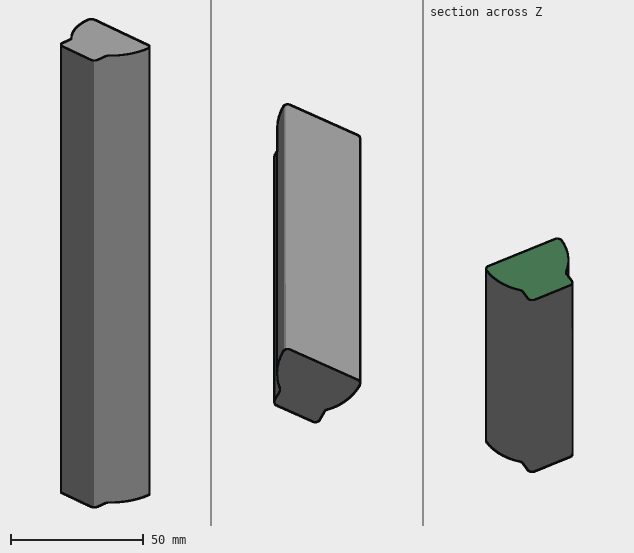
import cadquery as cq
import math

length = 190.5
width = 32.4
depth = 23.8
neck_width = 19.0
flank_radius = 21.0
corner_radius = 2.0
neck_radius = 1.0

half_width = width / 2
half_neck = neck_width / 2
back_y = depth / 2
front_y = -depth / 2
flank_top_y = back_y - corner_radius
flank_center_x = half_width - flank_radius


def flank_point(angle):
    """Point on the right flank, at an angle below its parallel start."""
    return (
        flank_center_x + flank_radius * math.cos(angle),
        flank_top_y - flank_radius * math.sin(angle),
    )


def mirrored(point):
    return (-point[0], point[1])


flank_angle = math.acos((half_neck - flank_center_x) / flank_radius)
flank_middle = flank_point(flank_angle / 2)
flank_end = flank_point(flank_angle)

body = (
    cq.Workplane("XY")
    .workplane(offset=-length / 2)
    .moveTo(-half_width, back_y)
    .lineTo(half_width, back_y)
    .lineTo(half_width, flank_top_y)
    .threePointArc(flank_middle, flank_end)
    .lineTo(half_neck, front_y)
    .lineTo(-half_neck, front_y)
    .lineTo(*mirrored(flank_end))
    .threePointArc(mirrored(flank_middle), (-half_width, flank_top_y))
    .close()
    .extrude(length)
)


def round_edges(solid, x, y, radius):
    """Round the two lengthwise edges at (x, y) and (-x, y)."""
    for side in (-1, 1):
        edge = cq.selectors.NearestToPointSelector((side * x, y, 0))
        solid = solid.edges("|Z").edges(edge).fillet(radius)
    return solid


back_clearance = 0.02
body = round_edges(body, half_width, back_y, corner_radius - back_clearance)
body = round_edges(body, half_neck, front_y, corner_radius)
result = round_edges(body, *flank_end, neck_radius)